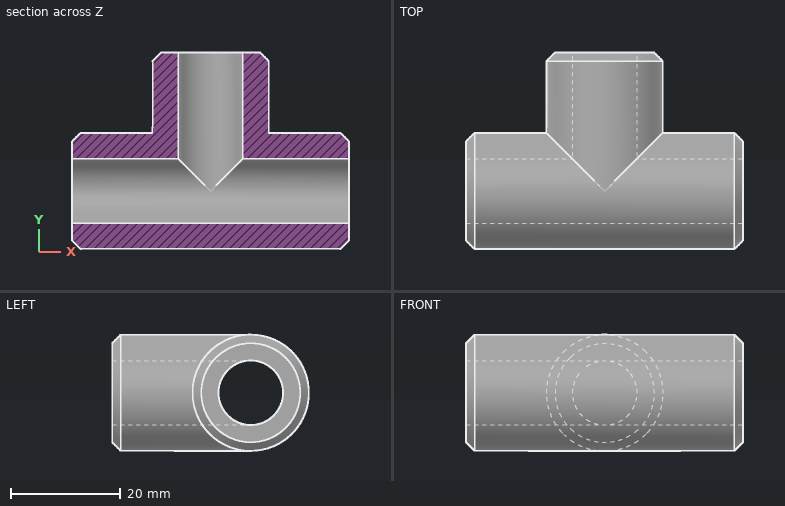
import cadquery as cq

outer_diameter = 21.34
bore_diameter = 11.8
center_to_end = 25.4
end_chamfer = 1.6

run_length = 2 * center_to_end


def run_cylinder(diameter):
    """Cylinder along X, centred on the tee's centre."""
    return (
        cq.Workplane("YZ")
        .workplane(offset=-center_to_end)
        .circle(diameter / 2)
        .extrude(run_length)
    )


def branch_cylinder(diameter):
    """Cylinder along +Y, from the run's axis to the branch end."""
    return cq.Workplane("XZ").circle(diameter / 2).extrude(-center_to_end)


run_body = run_cylinder(outer_diameter).faces("<X or >X").chamfer(end_chamfer)
branch_body = branch_cylinder(outer_diameter).faces(">Y").chamfer(end_chamfer)
body = run_body.union(branch_body)

result = body.cut(run_cylinder(bore_diameter)).cut(branch_cylinder(bore_diameter))